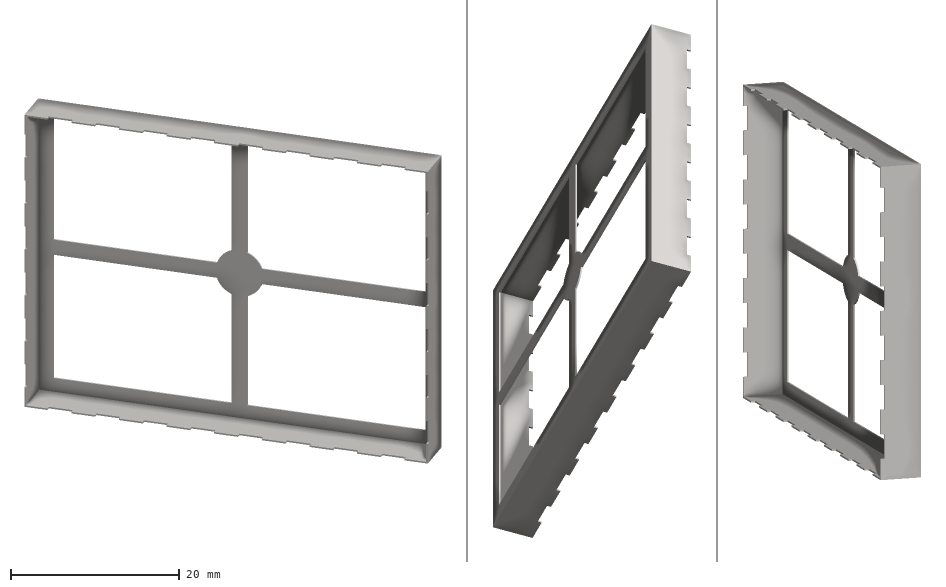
import cadquery as cq

length = 50.8
depth = 5.1
height = 38.1

wall = 0.2
floor = 0.2

bar_width = 2.0
hub_diameter = 6.0

notch_width = 3.0
notch_depth = 0.5
notches_along_x = 8
notches_along_z = 6


def make_tray():
    """Thin walled box open towards -Y, centred on the origin."""
    outer = cq.Workplane("XY").box(length, depth, height)
    cavity = cq.Workplane("XY").box(length - 2 * wall, depth, height - 2 * wall)
    return outer.cut(cavity.translate((0, -floor, 0)))


def make_windows():
    """Four openings through the floor, leaving the border, the cross and the hub."""
    window_length = (length - 3 * bar_width) / 2
    window_height = (height - 3 * bar_width) / 2
    windows = (
        cq.Workplane("XZ")
        .rarray(window_length + bar_width, window_height + bar_width, 2, 2)
        .rect(window_length, window_height)
        .extrude(depth, both=True)
    )
    hub = cq.Workplane("XZ").circle(hub_diameter / 2).extrude(depth, both=True)
    return windows.cut(hub)


def notch_centres(count):
    """Evenly spaced notch positions, symmetric about zero."""
    pitch = 2 * notch_width
    return [(i - (count - 1) / 2) * pitch for i in range(count)]


def cut_rim_notches(body):
    """Notch all four walls; each cutter passes through a pair of opposite walls."""
    cutter_depth = 2 * notch_depth
    rim_y = -depth / 2
    for x in notch_centres(notches_along_x):
        cutter = cq.Workplane("XY").box(notch_width, cutter_depth, height)
        body = body.cut(cutter.translate((x, rim_y, 0)))
    for z in notch_centres(notches_along_z):
        cutter = cq.Workplane("XY").box(length, cutter_depth, notch_width)
        body = body.cut(cutter.translate((0, rim_y, z)))
    return body


result = cut_rim_notches(make_tray().cut(make_windows()))